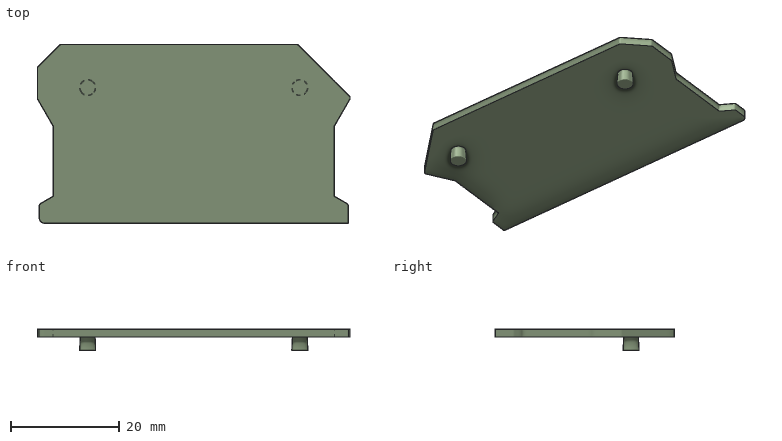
import cadquery as cq
import math

length = 57.7
depth = 33.0
total_height = 4.0
plate_thickness = 1.5

waist_inset = 2.95
waist_bottom = 5.0
waist_top = 17.9
foot_inset = 0.35
left_chamfer = 4.2
shoulder_angle = 30.0
flank_angle = 60.0
right_chamfer_angle = 45.0

corner_radius = 0.5
foot_radius = 1.05
small_radius = 0.2

peg_inset = 9.3
peg_y = 25.05
peg_root_diameter = 2.75
peg_end_diameter = 3.0
peg_rim_radius = 0.2

peg_length = total_height - plate_thickness
flank_slope = math.tan(math.radians(flank_angle))
foot_shoulder = waist_bottom - (waist_inset - foot_inset) * math.tan(math.radians(shoulder_angle))

upper_normal = math.radians(90 - right_chamfer_angle)
lower_normal = math.radians(90 - flank_angle)
half_turn = (upper_normal + lower_normal) / 2
bisector = (upper_normal - lower_normal) / 2
tip_x = length + corner_radius * (math.cos(bisector) / math.cos(half_turn) - 1)
tip_y = waist_top + (tip_x - length + waist_inset) * flank_slope
right_chamfer = (depth - tip_y) / math.tan(math.radians(right_chamfer_angle))


def make_plate():
    right_foot_x = length - foot_inset
    right_waist_x = length - waist_inset
    corners = [
        (foot_inset, 0, foot_radius),
        (right_foot_x, 0, small_radius),
        (right_foot_x, foot_shoulder, corner_radius),
        (right_waist_x, waist_bottom, small_radius),
        (right_waist_x, waist_top, corner_radius),
        (tip_x, tip_y, corner_radius),
        (tip_x - right_chamfer, depth, corner_radius),
        (left_chamfer, depth, corner_radius),
        (0, depth - left_chamfer, corner_radius),
        (0, waist_top + waist_inset * flank_slope, corner_radius),
        (waist_inset, waist_top, corner_radius),
        (waist_inset, waist_bottom, small_radius),
        (foot_inset, foot_shoulder, corner_radius),
    ]
    outline = [(x, y) for x, y, _ in corners]
    plate = cq.Workplane("XY").polyline(outline).close().extrude(plate_thickness)
    for x, y, radius in corners:
        corner_edge = cq.selectors.NearestToPointSelector((x, y, plate_thickness / 2))
        plate = plate.edges("|Z").edges(corner_edge).fillet(radius)
    return plate


def make_peg(x):
    cone = cq.Solid.makeCone(
        peg_root_diameter / 2,
        peg_end_diameter / 2,
        peg_length,
        pnt=cq.Vector(x, peg_y, 0),
        dir=cq.Vector(0, 0, -1),
    )
    return cq.Workplane(cone).faces("<Z").edges().fillet(peg_rim_radius)


result = make_plate()
for peg_x in (peg_inset, length - peg_inset):
    result = result.union(make_peg(peg_x))